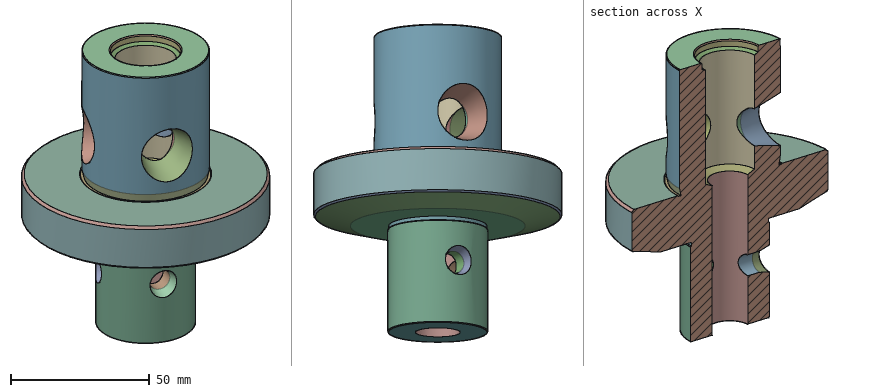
import cadquery as cq
import math

total_height = 109.2
flange_radius = 45.0
upper_radius = 23.2
lower_radius = 18.1
flange_top = 59.6
flange_bottom = 39.3
edge_chamfer = 0.3

flange_chamfer = 1.0
rim_bottom = 43.5
rim_bevel = 0.7
underside_radius = 31.7

upper_relief_depth = 0.7
upper_relief_height = 2.6
face_groove_radius = 23.9
face_groove_depth = 0.3
lower_relief_depth = 0.3
lower_relief_height = 1.6

through_radius = 8.1
main_bore_radius = 11.1
mouth_radius = 12.8
mouth_chamfer = 0.4
mouth_depth = 2.6
mouth_cone_height = 0.8
bore_cone_top = 60.7
bore_cone_height = 1.4

hole_angles = (90, 220, 320)
hole_half_angle = 15.0
upper_hole_height = 77.2
upper_hole_radius = 10.5
upper_taper_end = 10.4
lower_hole_height = 23.4
lower_hole_radius = 5.4
lower_taper_end = 13.4
cutter_overrun = 1.1


def revolve_profile(points):
    """Turn a closed (radius, height) outline around the Z axis."""
    return cq.Workplane("XZ").polyline(points).close().revolve(360, (0, 0), (0, 1))


def make_body():
    upper_neck = upper_radius - upper_relief_depth
    lower_neck = lower_radius - lower_relief_depth
    groove_floor = flange_top - face_groove_depth
    return revolve_profile([
        (0, 0),
        (lower_radius - edge_chamfer, 0),
        (lower_radius, edge_chamfer),
        (lower_radius, flange_bottom - lower_relief_height),
        (lower_neck, flange_bottom - lower_relief_height + lower_relief_depth),
        (lower_neck, flange_bottom),
        (underside_radius, flange_bottom),
        (flange_radius - rim_bevel, rim_bottom - rim_bevel),
        (flange_radius, rim_bottom),
        (flange_radius, flange_top - flange_chamfer),
        (flange_radius - flange_chamfer, flange_top),
        (face_groove_radius, flange_top),
        (face_groove_radius - face_groove_depth, groove_floor),
        (upper_neck, groove_floor),
        (upper_radius, flange_top + upper_relief_height),
        (upper_radius, total_height - edge_chamfer),
        (upper_radius - edge_chamfer, total_height),
        (0, total_height),
    ])


def make_bore():
    mouth_floor = total_height - mouth_depth
    return revolve_profile([
        (0, 0),
        (through_radius, 0),
        (through_radius, bore_cone_top - bore_cone_height),
        (main_bore_radius, bore_cone_top),
        (main_bore_radius, mouth_floor - mouth_cone_height),
        (mouth_radius, mouth_floor),
        (mouth_radius, total_height - mouth_chamfer),
        (mouth_radius + mouth_chamfer, total_height),
        (0, total_height),
    ])


def radial_hole(shank_radius, mouth_size, taper_end, height, angle):
    """Cutter running outward from the Z axis, tapered from taper_end to beyond the shank surface.

    mouth_size is the hole radius at shank_radius; taper_end is a distance from the Z axis.
    """
    slope = math.tan(math.radians(hole_half_angle))
    outer_end = shank_radius + cutter_overrun
    straight_radius = mouth_size - (shank_radius - taper_end) * slope
    outer_radius = mouth_size + cutter_overrun * slope
    outline = [
        (0, 0),
        (0, straight_radius),
        (taper_end, straight_radius),
        (outer_end, outer_radius),
        (outer_end, 0),
    ]
    cutter = cq.Workplane("XY").polyline(outline).close().revolve(360, (0, 0), (1, 0))
    return cutter.translate((0, 0, height)).rotate((0, 0, 0), (0, 0, 1), angle)


def upper_hole(angle):
    return radial_hole(upper_radius, upper_hole_radius, upper_taper_end, upper_hole_height, angle)


def lower_hole(angle):
    return radial_hole(lower_radius, lower_hole_radius, lower_taper_end, lower_hole_height, angle)


result = make_body().cut(make_bore())
for hole_angle in hole_angles:
    result = result.cut(upper_hole(hole_angle)).cut(lower_hole(hole_angle))